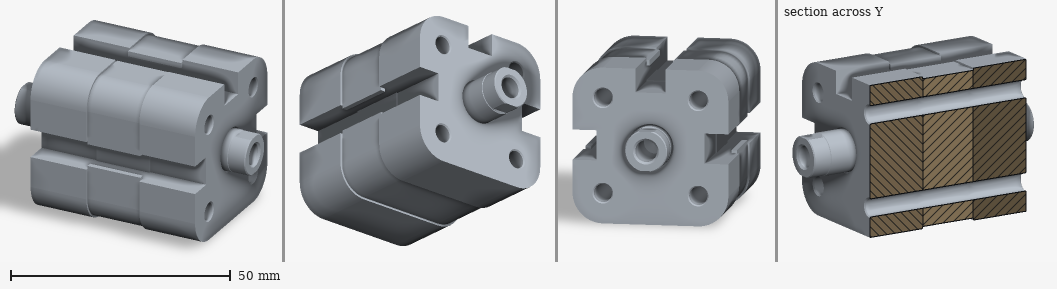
import cadquery as cq
import math


overall_length = 59.0
rod_reach_left = 10.9
rod_reach_right = 6.0
housing_length = overall_length - rod_reach_left - rod_reach_right
barrel_length = 13.5
cap_length = (housing_length - barrel_length) / 2

cap_side = 36.0
barrel_side = 35.0
bolt_spacing = 22.0

slot_angles = (0, 90, -90)
slot_width = 6.95
slot_mouth_width = 5.5
lip_thickness = 1.3
cap_slot_floor = 12.5
barrel_slot_floor = 12.85

bolt_hole_diameter = 4.2
bolt_hole_chamfer = 0.3

rod_diameter = 10.05
rod_bore_chamfer = 0.3
tip_diameter = 9.8
tip_length = 4.5
tip_chamfer = 0.25
flat_spacing = 9.0
flat_length = 4.1
threaded_hole_diameter = 5.0
threaded_hole_depth = 11.8
threaded_hole_chamfer = 0.5
drill_point_angle = 118.0


def turned(points):
    """Solid of revolution about the X axis from (x, radius) points."""
    return cq.Workplane("XY").polyline(points).close().revolve(360, (0, 0, 0), (1, 0, 0))


def housing_block(side, length):
    """Square bar along X, centred on the origin, with rounds concentric with the bolt holes."""
    corner_radius = (side - bolt_spacing) / 2
    return cq.Workplane("XY").box(length, side, side).edges("|X").fillet(corner_radius)


def groove(width, bottom, top, length):
    """Cutters for one groove per slot angle, between two distances from the rod axis."""
    cutter = cq.Workplane("XY").box(length, width, top - bottom, centered=(True, True, False))
    cutter = cutter.translate((0, 0, bottom))
    cutters = cq.Workplane("XY")
    for angle in slot_angles:
        cutters = cutters.add(cutter.rotate((0, 0, 0), (1, 0, 0), angle))
    return cutters.combine()


def drill_housing(block):
    """Cut the rod bore and the four bolt holes through a housing block."""
    block = block.faces("<X").workplane(origin=(0, 0, 0)).hole(rod_diameter)
    return (
        block.faces("<X").workplane(origin=(0, 0, 0))
        .rect(bolt_spacing, bolt_spacing, forConstruction=True)
        .vertices()
        .hole(bolt_hole_diameter)
    )


def make_barrel():
    barrel = drill_housing(housing_block(barrel_side, barrel_length))
    lip_underside = barrel_side / 2 - lip_thickness
    barrel = barrel.cut(groove(slot_width, barrel_slot_floor, lip_underside, barrel_length))
    return barrel.cut(groove(slot_mouth_width, barrel_slot_floor, barrel_side, barrel_length))


def chamfered_rim(diameter, chamfer, face_x):
    """45 degree cone that breaks the rim of a hole on the X axis, in a face that looks toward -X."""
    outer_radius = diameter / 2 + chamfer
    return turned([(face_x, 0), (face_x, outer_radius), (face_x + outer_radius, 0)])


def make_left_cap():
    cap = drill_housing(housing_block(cap_side, cap_length))
    cap = cap.cut(groove(slot_width, cap_slot_floor, cap_side, cap_length))
    outer_face_x = -cap_length / 2
    cap = cap.cut(chamfered_rim(rod_diameter, rod_bore_chamfer, outer_face_x))
    bolt_rim = chamfered_rim(bolt_hole_diameter, bolt_hole_chamfer, outer_face_x)
    for side_y in (-1, 1):
        for side_z in (-1, 1):
            offset = (0, side_y * bolt_spacing / 2, side_z * bolt_spacing / 2)
            cap = cap.cut(bolt_rim.translate(offset))
    return cap.translate((-(barrel_length + cap_length) / 2, 0, 0))


def threaded_hole(end_x):
    """Cutter for the blind hole in the left rod end: straight bore with a drill point."""
    radius = threaded_hole_diameter / 2
    bottom_x = end_x + threaded_hole_depth
    point_length = radius / math.tan(math.radians(drill_point_angle / 2))
    bore = turned([(end_x, 0), (end_x, radius), (bottom_x, radius), (bottom_x + point_length, 0)])
    return bore.union(chamfered_rim(threaded_hole_diameter, threaded_hole_chamfer, end_x))


def wrench_flat(end_x):
    """Cutter for the upper flat of the left rod end, with a 45 degree run-out."""
    flat_z = flat_spacing / 2
    top_z = rod_diameter
    flat_end_x = end_x + flat_length
    return (
        cq.Workplane("XZ")
        .polyline([
            (end_x, flat_z),
            (flat_end_x, flat_z),
            (flat_end_x + top_z - flat_z, top_z),
            (end_x, top_z),
        ])
        .close()
        .extrude(rod_diameter / 2, both=True)
    )


def make_left_rod_half(reach):
    """Rod from the middle of the housing to its left end, reaching out of the left cap."""
    end_x = -housing_length / 2 - reach
    shoulder_x = end_x + tip_length
    rod_radius = rod_diameter / 2
    tip_radius = tip_diameter / 2
    rod = turned([
        (end_x, 0),
        (end_x, tip_radius - tip_chamfer),
        (end_x + tip_chamfer, tip_radius),
        (shoulder_x - (rod_radius - tip_radius), tip_radius),
        (shoulder_x, rod_radius),
        (0, rod_radius),
        (0, 0),
    ])
    upper_flat = wrench_flat(end_x)
    rod = rod.cut(upper_flat).cut(upper_flat.mirror("XY"))
    return rod.cut(threaded_hole(end_x))


def make_piston_rod():
    left_half = make_left_rod_half(rod_reach_left)
    right_half = make_left_rod_half(rod_reach_right).mirror("YZ")
    return left_half.union(right_half)


barrel = make_barrel()
left_cap = make_left_cap()
right_cap = left_cap.mirror("YZ")
piston_rod = make_piston_rod()

result = cq.Compound.makeCompound([
    barrel.val(),
    left_cap.val(),
    right_cap.val(),
    piston_rod.val(),
])